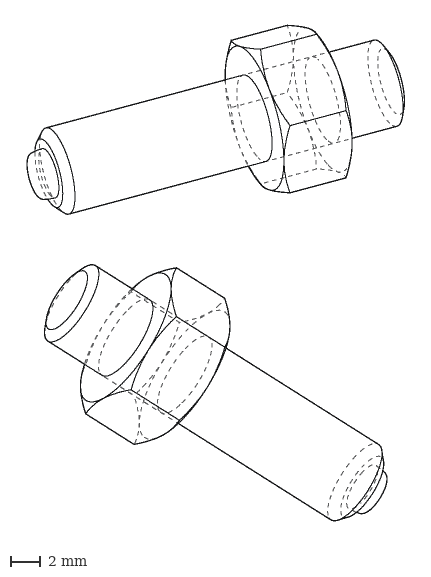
import cadquery as cq
import math

total_length = 26.0
screw_diameter = 6.0
rear_length = 5.0
tip_length = 1.0

front_edge_diameter = 4.75
front_chamfer_length = 0.62
rear_edge_diameter = 4.58
rear_chamfer_angle = 30.0

tip_base_diameter = 3.43
tip_rim_diameter = 3.25
tip_flat_diameter = 2.8
tip_rim_length = 0.2
barrel_middle_drop = 0.25

nut_sides = 6
nut_width = 10.0
nut_height = 5.0
nut_chamfer_angle = 30.0

nut_corner_radius = nut_width / math.sqrt(3)
tip_end_y = -total_length / 2
front_face_y = tip_end_y + tip_length
rear_face_y = total_length / 2
nut_rear_y = rear_face_y - rear_length
nut_front_y = nut_rear_y - nut_height


def make_screw():
    """Turned screw: chamfered shank with a dog point, revolved about Y."""
    radius = screw_diameter / 2
    rear_edge_radius = rear_edge_diameter / 2
    rear_chamfer_length = (radius - rear_edge_radius) * math.tan(math.radians(rear_chamfer_angle))
    tip_rim_y = tip_end_y + tip_rim_length
    barrel_length = tip_length - tip_rim_length
    barrel_drop = (tip_base_diameter - tip_rim_diameter) / 2
    barrel_middle = (
        tip_base_diameter / 2 - barrel_drop * barrel_middle_drop,
        front_face_y - barrel_length / 2,
    )
    return (
        cq.Workplane("XY")
        .moveTo(0, rear_face_y)
        .lineTo(rear_edge_radius, rear_face_y)
        .lineTo(radius, rear_face_y - rear_chamfer_length)
        .lineTo(radius, front_face_y + front_chamfer_length)
        .lineTo(front_edge_diameter / 2, front_face_y)
        .lineTo(tip_base_diameter / 2, front_face_y)
        .threePointArc(barrel_middle, (tip_rim_diameter / 2, tip_rim_y))
        .tangentArcPoint((tip_flat_diameter / 2, tip_end_y), relative=False)
        .lineTo(0, tip_end_y)
        .close()
        .revolve(360, (0, 0, 0), (0, 1, 0))
    )


def make_nut_envelope():
    """Turned blank whose conical ends chamfer the nut's corners."""
    face_radius = nut_width / 2
    chamfer_length = (nut_corner_radius - face_radius) * math.tan(math.radians(nut_chamfer_angle))
    return (
        cq.Workplane("XY")
        .moveTo(0, nut_front_y)
        .lineTo(face_radius, nut_front_y)
        .lineTo(nut_corner_radius, nut_front_y + chamfer_length)
        .lineTo(nut_corner_radius, nut_rear_y - chamfer_length)
        .lineTo(face_radius, nut_rear_y)
        .lineTo(0, nut_rear_y)
        .close()
        .revolve(360, (0, 0, 0), (0, 1, 0))
    )


def make_nut():
    """Hexagon nut with corners at +Z and -Z, chamfered at both ends and bored for the screw."""
    corner_angles = [math.radians(90 + 360 / nut_sides * index) for index in range(nut_sides)]
    corners = [
        (nut_corner_radius * math.cos(angle), nut_corner_radius * math.sin(angle))
        for angle in corner_angles
    ]
    nut_plane = cq.Workplane("XZ", origin=(0, nut_rear_y, 0))
    hexagon = nut_plane.polyline(corners).close().extrude(nut_height)
    bore = nut_plane.circle(screw_diameter / 2).extrude(nut_height)
    return hexagon.intersect(make_nut_envelope()).cut(bore)


screw = make_screw()
nut = make_nut()
result = cq.Compound.makeCompound([screw.val(), nut.solids().val()])